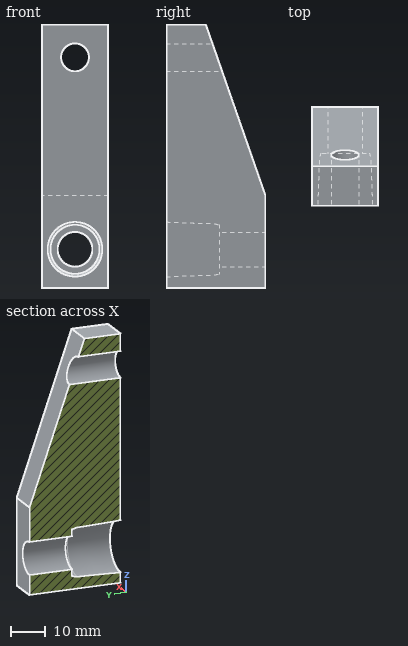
import cadquery as cq

width = 19.1
depth = 28.6
height = 76.0
top_depth = 11.4
slope_start_height = 26.75

upper_hole_diameter = 8.0
upper_hole_height = 66.6

lower_hole_diameter = 9.95
lower_hole_height = 11.2
bore_mouth_diameter = 15.8
bore_shoulder_diameter = 14.9
bore_floor_diameter = 14.15
bore_shoulder_depth = 13.7
bore_depth = 15.2


def sloped_block():
    """Side outline in YZ, extruded symmetrically across the width."""
    outline = [
        (0, 0),
        (depth, 0),
        (depth, slope_start_height),
        (top_depth, height),
        (0, height),
    ]
    return cq.Workplane("YZ").polyline(outline).close().extrude(width / 2, both=True)


def through_hole(diameter, center_height):
    """Cylinder along Y through the whole block."""
    front_plane = cq.Workplane("XZ").center(0, center_height)
    return front_plane.circle(diameter / 2).extrude(-depth)


def tapered_bore():
    """Revolved bore: a slight taper from the front face, then a steeper one to the floor."""
    half_profile = [
        (0, 0),
        (bore_mouth_diameter / 2, 0),
        (bore_shoulder_diameter / 2, bore_shoulder_depth),
        (bore_floor_diameter / 2, bore_depth),
        (0, bore_depth),
    ]
    bore = cq.Workplane("XY").polyline(half_profile).close().revolve(360, (0, 0), (0, 1))
    return bore.translate((0, 0, lower_hole_height))


result = (
    sloped_block()
    .cut(through_hole(upper_hole_diameter, upper_hole_height))
    .cut(through_hole(lower_hole_diameter, lower_hole_height))
    .cut(tapered_bore())
)